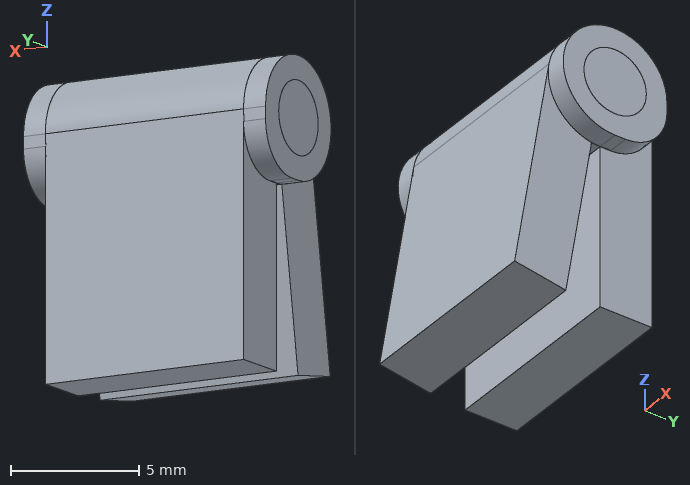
import cadquery as cq

barrel_radius = 2.5
pin_radius = 1.5
ring_corner_radius = 2.0
leaf_width = 9.0
leaf_length = 10.0
leaf_thickness = barrel_radius
end_ring_width = 1.0
opening_angle = 9.5

hinge_width = leaf_width + 2 * end_ring_width
barrel_start = -leaf_width / 2
pin_start = -hinge_width / 2


def cylinder_along_x(radius, start, length):
    """Cylinder on the pin axis, starting at the given X."""
    return cq.Workplane("YZ", origin=(start, 0, 0)).circle(radius).extrude(length)


def leaf_plate(side):
    """Plate hanging from the pin axis, on the +Y (1) or -Y (-1) side of it."""
    plate = cq.Workplane("XY").box(leaf_width, leaf_thickness, leaf_length)
    return plate.translate((0, side * leaf_thickness / 2, -leaf_length / 2))


def make_pin():
    """Plain pin, flush with the outer faces of the end rings."""
    return cylinder_along_x(pin_radius, pin_start, hinge_width)


def make_end_ring(start):
    """Round end ring with a tighter corner at its lower +Y quarter, standing proud of the barrel."""
    square_corner = cq.Workplane("XY").box(end_ring_width, barrel_radius, barrel_radius, centered=False)
    square_corner = square_corner.translate((start, 0, -barrel_radius))
    rounded_corner = square_corner.edges("|X and >Y and <Z").fillet(ring_corner_radius)
    return cylinder_along_x(barrel_radius, start, end_ring_width).union(rounded_corner)


def make_barrel():
    """Full-round barrel between the two end rings."""
    return cylinder_along_x(barrel_radius, barrel_start, leaf_width)


def make_upright_leaf():
    """Vertical leaf, hollowed for the barrel and joined to the rings by their proud corners."""
    leaf = leaf_plate(1).cut(make_barrel())
    for ring_start in (pin_start, leaf_width / 2):
        leaf = leaf.union(make_end_ring(ring_start))
    return leaf.cut(make_pin())


def make_tilted_leaf():
    """Swung-out leaf carrying the central barrel."""
    plate = leaf_plate(-1).rotate((0, 0, 0), (1, 0, 0), -opening_angle)
    return plate.union(make_barrel()).cut(make_pin())


pin = make_pin()
upright_leaf = make_upright_leaf()
tilted_leaf = make_tilted_leaf()

result = cq.Compound.makeCompound([*upright_leaf.solids().vals(), *tilted_leaf.solids().vals(), pin.val()])